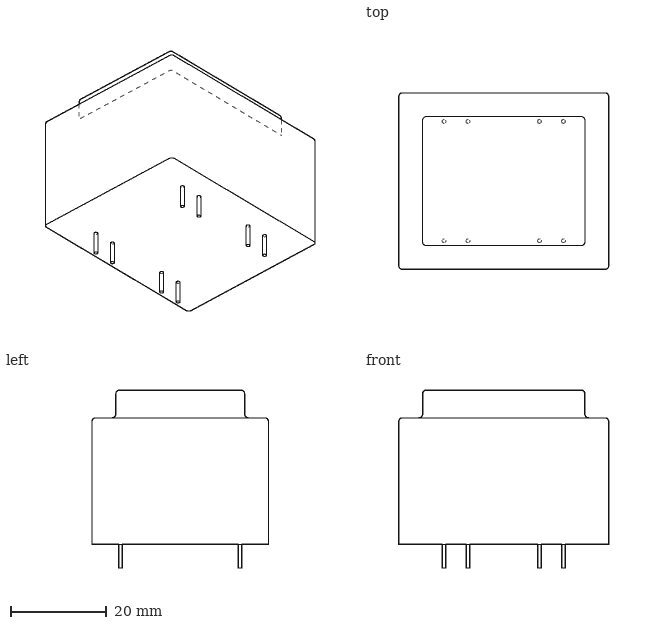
import cadquery as cq

BODY_LENGTH = 44.0
BODY_WIDTH = 37.0
BODY_HEIGHT = 26.55

CAP_LENGTH = 34.0
CAP_WIDTH = 27.0
CAP_HEIGHT = 5.8

EDGE_RADIUS = 0.8

PIN_DIAMETER = 0.8
PIN_LENGTH = 4.95
OUTER_PIN_X = 12.5
INNER_PIN_X = 7.5
PIN_ROW_Y = 12.5


def make_block(length, width, height, base_z):
    """Plain block centred on the Z axis."""
    return cq.Workplane("XY").workplane(offset=base_z).rect(length, width).extrude(height)


def make_housing():
    """Body and cap; the foot fillet wraps round corners at -X and sharp corners at +X.

    The +X vertical edges of the cap are rounded after the foot fillet,
    so their rounding runs out into it.
    """
    body = make_block(BODY_LENGTH, BODY_WIDTH, BODY_HEIGHT, 0).edges("|Z or >Z").fillet(EDGE_RADIUS)
    cap = make_block(CAP_LENGTH, CAP_WIDTH, CAP_HEIGHT, BODY_HEIGHT).edges("|Z and <X").fillet(EDGE_RADIUS)
    margin = EDGE_RADIUS / 2
    half_length = CAP_LENGTH / 2 + margin
    half_width = CAP_WIDTH / 2 + margin
    foot_edges = cq.selectors.BoxSelector(
        (-half_length, -half_width, BODY_HEIGHT - margin),
        (half_length, half_width, BODY_HEIGHT + margin),
        boundingbox=True,
    )
    late_corner_edges = cq.selectors.BoxSelector(
        (CAP_LENGTH / 2 - margin, -half_width, BODY_HEIGHT + margin),
        (half_length, half_width, BODY_HEIGHT + CAP_HEIGHT - margin),
    )
    housing = body.union(cap).edges(foot_edges).fillet(EDGE_RADIUS)
    housing = housing.edges(late_corner_edges).edges("|Z").fillet(EDGE_RADIUS)
    return housing.faces(">Z").edges().fillet(EDGE_RADIUS)


def make_pins():
    """Two mirrored rows of pins, with a wide gap in the middle of each row."""
    columns = (-OUTER_PIN_X, -INNER_PIN_X, INNER_PIN_X, OUTER_PIN_X)
    positions = [(x, y) for x in columns for y in (-PIN_ROW_Y, PIN_ROW_Y)]
    return cq.Workplane("XY").pushPoints(positions).circle(PIN_DIAMETER / 2).extrude(-PIN_LENGTH)


result = make_housing().union(make_pins())